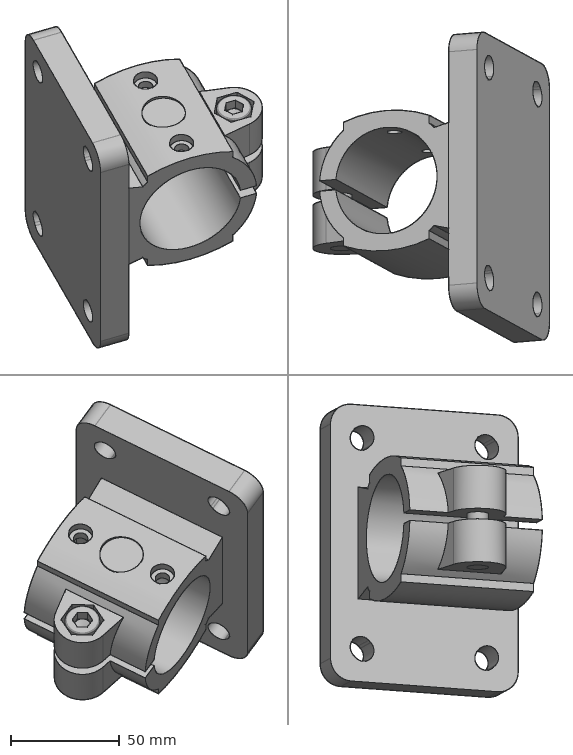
import cadquery as cq
import math


PLATE_WIDTH = 92.0
PLATE_HEIGHT = 130.0
PLATE_THICKNESS = 14.0
PLATE_FRONT_Y = -50.0
PLATE_BACK_Y = PLATE_FRONT_Y + PLATE_THICKNESS
PLATE_CORNER_RADIUS = 10.0
SLOT_WIDTH = 10.5
SLOT_LENGTH = 12.0
SLOT_TILT_DEGREES = 45
SLOT_X = 30.5
SLOT_Z = 49.5

CLAMP_WIDTH = 65.0
BORE_DIAMETER = 50.0
RING_RADIUS = 33.0
PAD_HALF_WIDTH = 21.2
PAD_EDGE_Z = 29.1
NECK_ROOT = (-23.4, 23.0)
NECK_PLATE_HALF_HEIGHT = 26.3
SLIT_HEIGHT = 5.0

LUG_Y = 35.0
LUG_RADIUS = 13.0
LUG_TAPER_DEGREES = 11.5
LUG_HALF_HEIGHT = 22.6

POCKET_ACROSS_FLATS = 17.0
SHANK_DIAMETER = 10.0
HEAD_DIAMETER = 16.0
HEAD_HEIGHT = 10.0
HEAD_EDGE_RADIUS = 0.5
SOCKET_ACROSS_FLATS = 8.0
SOCKET_DEPTH = 5.0
SOCKET_TIP_DEPTH = 2.3
HEAD_SEAT_Z = LUG_HALF_HEIGHT - HEAD_HEIGHT

SPOTFACE_DIAMETER = 20.0
SPOTFACE_DEPTH = 1.3
PAD_HOLE_X = 22.0
PAD_HOLE_DIAMETER = 6.6
COUNTERBORE_DIAMETER = 11.0
COUNTERBORE_DEPTH = 4.0


def upright_cylinder(diameter, bottom_z, top_z, x=0.0, y=0.0):
    """Solid cylinder along Z between two heights."""
    return (
        cq.Workplane("XY", origin=(x, y, bottom_z))
        .circle(diameter / 2)
        .extrude(top_z - bottom_z)
    )


def upright_hexagon(across_flats, bottom_z, top_z):
    """Hexagonal prism on the screw axis, with two corners pointing along Y."""
    across_corners = across_flats / math.cos(math.radians(30))
    return (
        cq.Workplane("XY", origin=(0, LUG_Y, bottom_z))
        .transformed(rotate=(0, 0, 90))
        .polygon(6, across_corners)
        .extrude(top_z - bottom_z)
    )


def extrude_across(profile):
    """Extrude a closed YZ profile over the clamp width, centred on X."""
    return profile.extrude(CLAMP_WIDTH / 2, both=True)


def make_plate():
    plate = (
        cq.Workplane("XY")
        .box(PLATE_WIDTH, PLATE_THICKNESS, PLATE_HEIGHT)
        .edges("|Y")
        .fillet(PLATE_CORNER_RADIUS)
        .translate((0, PLATE_FRONT_Y + PLATE_THICKNESS / 2, 0))
    )
    for side_x in (-1, 1):
        for side_z in (-1, 1):
            slot = (
                cq.Workplane("XZ", origin=(side_x * SLOT_X, PLATE_BACK_Y, side_z * SLOT_Z))
                .slot2D(SLOT_LENGTH, SLOT_WIDTH, -side_x * side_z * SLOT_TILT_DEGREES)
                .extrude(PLATE_THICKNESS)
            )
            plate = plate.cut(slot)
    return plate


def make_clamp_ring():
    """Round ring with a shallow-crowned pad above and below, before boring."""
    ring = extrude_across(cq.Workplane("YZ").circle(RING_RADIUS))
    pads = extrude_across(
        cq.Workplane("YZ")
        .moveTo(-PAD_HALF_WIDTH, -PAD_EDGE_Z)
        .lineTo(-PAD_HALF_WIDTH, PAD_EDGE_Z)
        .threePointArc((0, RING_RADIUS), (PAD_HALF_WIDTH, PAD_EDGE_Z))
        .lineTo(PAD_HALF_WIDTH, -PAD_EDGE_Z)
        .threePointArc((0, -RING_RADIUS), (-PAD_HALF_WIDTH, -PAD_EDGE_Z))
        .close()
    )
    return ring.union(pads)


def make_neck():
    """Web that widens from the ring to the plate."""
    root_y, root_z = NECK_ROOT
    return extrude_across(
        cq.Workplane("YZ").polyline([
            (root_y, -root_z),
            (root_y, root_z),
            (PLATE_BACK_Y, NECK_PLATE_HALF_HEIGHT),
            (PLATE_BACK_Y, -NECK_PLATE_HALF_HEIGHT),
        ]).close()
    )


def make_lugs():
    """Round-nosed lug block with flanks that are tangent to the nose and spread towards the bore."""
    taper = math.radians(LUG_TAPER_DEGREES)
    tangent_x = LUG_RADIUS * math.cos(taper)
    tangent_y = LUG_Y + LUG_RADIUS * math.sin(taper)
    base_x = tangent_x + tangent_y * math.tan(taper)
    return (
        cq.Workplane("XY")
        .moveTo(-base_x, 0)
        .lineTo(-tangent_x, tangent_y)
        .threePointArc((0, LUG_Y + LUG_RADIUS), (tangent_x, tangent_y))
        .lineTo(base_x, 0)
        .close()
        .extrude(LUG_HALF_HEIGHT, both=True)
    )


def cut_clamp_opening(bracket):
    """Bore the ring and slit it through the lugs."""
    bore = extrude_across(cq.Workplane("YZ").circle(BORE_DIAMETER / 2))
    slit_length = LUG_Y + LUG_RADIUS
    slit = (
        cq.Workplane("XY")
        .box(CLAMP_WIDTH, slit_length, SLIT_HEIGHT)
        .translate((0, slit_length / 2, 0))
    )
    return bracket.cut(bore).cut(slit)


def cut_screw_seat(bracket):
    """Hexagonal pocket in the upper lug and the shank hole through both lugs."""
    pocket = upright_hexagon(POCKET_ACROSS_FLATS, HEAD_SEAT_Z, LUG_HALF_HEIGHT)
    shank_hole = upright_cylinder(SHANK_DIAMETER, -LUG_HALF_HEIGHT, LUG_HALF_HEIGHT, y=LUG_Y)
    return bracket.cut(pocket).cut(shank_hole)


def cut_pad_features(bracket):
    """Spotface in the middle of the top pad, with a counterbored hole into the bore on each side."""
    spotface_floor_z = RING_RADIUS - SPOTFACE_DEPTH
    bracket = bracket.cut(upright_cylinder(SPOTFACE_DIAMETER, spotface_floor_z, RING_RADIUS))
    counterbore_floor_z = RING_RADIUS - COUNTERBORE_DEPTH
    for x in (-PAD_HOLE_X, PAD_HOLE_X):
        bracket = bracket.cut(upright_cylinder(PAD_HOLE_DIAMETER, 0, RING_RADIUS, x))
        bracket = bracket.cut(
            upright_cylinder(COUNTERBORE_DIAMETER, counterbore_floor_z, RING_RADIUS, x)
        )
    return bracket


def make_bracket():
    bracket = make_clamp_ring().union(make_neck()).union(make_lugs()).union(make_plate())
    bracket = cut_clamp_opening(bracket)
    bracket = cut_screw_seat(bracket)
    return cut_pad_features(bracket)


def make_screw():
    """Socket-head screw: head flush with the upper lug, shank ending flush with the lower lug."""
    head = (
        upright_cylinder(HEAD_DIAMETER, HEAD_SEAT_Z, LUG_HALF_HEIGHT, y=LUG_Y)
        .faces(">Z")
        .edges()
        .fillet(HEAD_EDGE_RADIUS)
    )
    shank = upright_cylinder(SHANK_DIAMETER, -LUG_HALF_HEIGHT, HEAD_SEAT_Z, y=LUG_Y)
    socket_floor_z = LUG_HALF_HEIGHT - SOCKET_DEPTH
    socket = upright_hexagon(SOCKET_ACROSS_FLATS, socket_floor_z, LUG_HALF_HEIGHT)
    socket_tip = cq.Workplane(
        cq.Solid.makeCone(
            SOCKET_ACROSS_FLATS / 2,
            0,
            SOCKET_TIP_DEPTH,
            pnt=cq.Vector(0, LUG_Y, socket_floor_z),
            dir=cq.Vector(0, 0, -1),
        )
    )
    return head.union(shank).cut(socket).cut(socket_tip)


bracket = make_bracket()
screw = make_screw()

result = cq.Compound.makeCompound([bracket.val(), screw.val()])